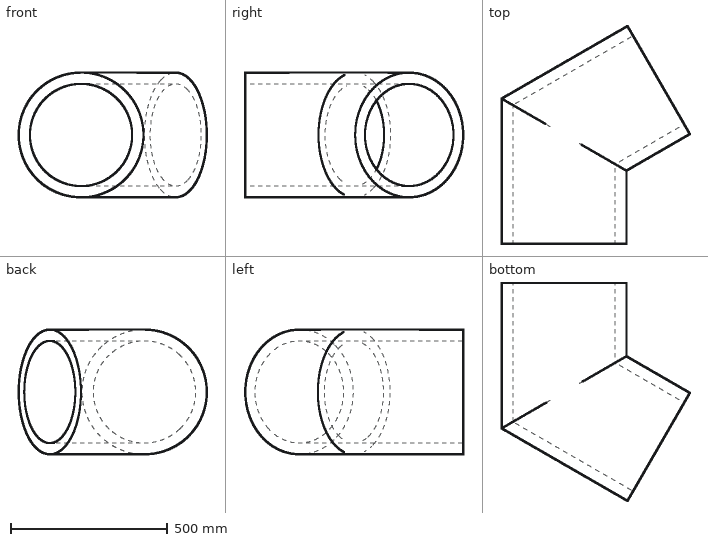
import cadquery as cq
import math

overall_length = 698.0
outer_diameter = 400.0
wall_thickness = 36.0
bend_angle = math.radians(60)

outer_radius = outer_diameter / 2
inner_radius = outer_radius - wall_thickness

end_face_rise = outer_radius * math.sin(bend_angle)
leg_length = (overall_length - end_face_rise) / (1 + math.cos(bend_angle))

straight_end = (0, -leg_length)
corner = (0, 0)
angled_end = (leg_length * math.sin(bend_angle), leg_length * math.cos(bend_angle))


def mitred_bar(radius):
    """Solid round bar following the elbow axis with a sharp mitre at the corner."""
    axis = cq.Workplane("XY").polyline([straight_end, corner, angled_end])
    section = cq.Workplane("XZ", origin=(0, -leg_length, 0)).circle(radius)
    return section.sweep(axis, transition="right")


result = mitred_bar(outer_radius).cut(mitred_bar(inner_radius))